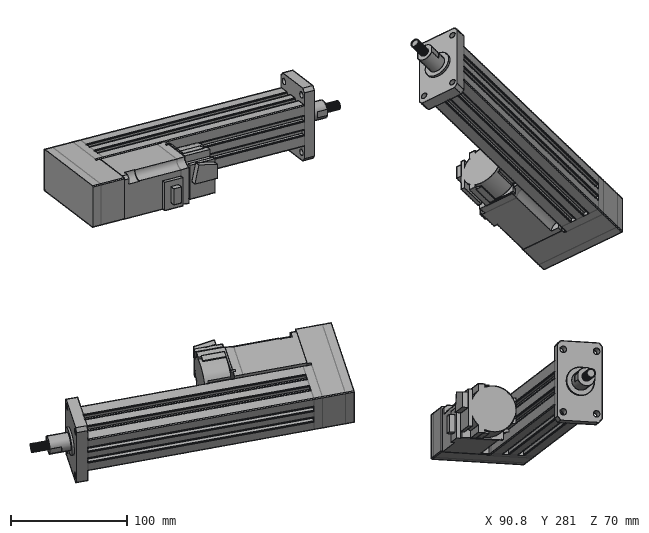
import cadquery as cq

OVERALL_LENGTH = 281.0
SIDE = 40.0
EDGE_CHAMFER = 0.8

COVER_FRONT_Y = 8.0
GEARBOX_FRONT_Y = 28.0
MOTOR_SEAT_Y = 31.5
TUBE_REAR_Y = 35.7
FLANGE_REAR_Y = 235.8
FLANGE_FRONT_Y = 246.0
COLLAR_FRONT_Y = 247.8
ROD_FRONT_Y = 266.0

GEARBOX_WIDTH = 83.5
SEAT_LEFT_X = 21.4

GROOVE_SPACING = 13.5
GROOVE_MOUTH = 6.0
GROOVE_WIDTH = 4.2
MOUTH_DEPTH = 0.8
GROOVE_DEPTH = 4.0

FLANGE_HEIGHT = 70.0
FLANGE_CHAMFER_X = 2.8
FLANGE_CHAMFER_Z = 3.5
HOLE_SPACING_X = 29.8
HOLE_SPACING_Z = 55.0
HOLE_DIAMETER = 5.5

COLLAR_DIAMETER = 24.7
ROD_DIAMETER = 16.0
ROD_FLATS = 15.0
ROD_FLAT_LENGTH = 10.0
THREAD_DIAMETER = 8.0
THREAD_DEPTH = 0.5
THREAD_TURNS = 12

MOTOR_AXIS_X = 42.2
MOTOR_SIDE = 40.5
FOOT_CHAMFER = 2.8
CHANNEL_RADIUS = 7.3
FLARE_REAR_Y = 88.2
CAP_REAR_Y = 95.8
CAP_FRONT_Y = 121.0
FLARED_SIDE = 42.0

SCOOP_RADIUS = 8.0
SCOOP_REAR_Y = 36.5
SCOOP_FRONT_Y = 46.6

CAP_RADIUS = 20.2
CAP_HEIGHT = 43.0
RIDGE_LEFT_X = 28.5
RIDGE_RIGHT_X = 55.5
RIDGE_FRONT_Y = 97.5
PAD_FRONT_Y = 118.0
PAD_LEFT_X = 45.0
PAD_STEP_X = 51.0
PAD_STEP = 0.3
LUG_REAR_Y = 93.5
REAR_LUG_LEFT_X = 26.5
REAR_LUG_RIGHT_X = 28.7
FRONT_LUG_LEFT_X = 49.7
LEDGE_LEFT_X = 21.0
LEDGE_RIGHT_X = 27.5
LEDGE_HEIGHT = 22.5

PLATE_LEFT_X = 61.0
PLATE_RIGHT_X = 64.3
PLATE_HEIGHT = 32.5
CONNECTOR_RIGHT_X = 69.7
CONNECTOR_TOP_Z = 17.5
CONNECTOR_FRONT_Z = 13.5
CONNECTOR_FRONT_Y = 120.3
CONNECTOR_REAR_Y = 97.8
CONNECTOR_RIDGE_Y = 101.7

TERMINAL_RIGHT_X = 65.8
TERMINAL_REAR_Y = 70.0
TERMINAL_FRONT_Y = 88.2
TERMINAL_TOP_Z = 7.0
PLUG_RIGHT_X = 70.8
PLUG_REAR_Y = 76.2
PLUG_FRONT_Y = 83.7
PLUG_BOTTOM_Z = -14.0
PLUG_TOP_Z = 1.5

HALF_SIDE = SIDE / 2
MOTOR_HALF = MOTOR_SIDE / 2
MOTOR_OUTER_X = MOTOR_AXIS_X + MOTOR_HALF


def block(x_range, y_range, z_range):
    """Box between two limits on each axis."""
    (x0, x1), (y0, y1), (z0, z1) = x_range, y_range, z_range
    return cq.Workplane("XY").box(x1 - x0, y1 - y0, z1 - z0, centered=False).translate((x0, y0, z0))


def about_middle(height):
    """Z limits of a feature that is centred on Z = 0."""
    return (-height / 2, height / 2)


def section_at(y):
    """XZ sketch plane at the given Y; negative extrusion lengths run toward +Y."""
    return cq.Workplane(cq.Plane(origin=(0, y, 0), xDir=(1, 0, 0), normal=(0, -1, 0)))


def rod_cylinder(diameter, rear_y, front_y):
    return section_at(rear_y).circle(diameter / 2).extrude(rear_y - front_y)


def make_tube():
    length = FLANGE_REAR_Y - TUBE_REAR_Y
    tube = section_at(TUBE_REAR_Y).rect(SIDE, SIDE).extrude(-length).edges("|Y").chamfer(EDGE_CHAMFER)
    y_range = (TUBE_REAR_Y, FLANGE_REAR_Y)
    for offset in (-GROOVE_SPACING / 2, GROOVE_SPACING / 2):
        for width, depth in ((GROOVE_MOUTH, MOUTH_DEPTH), (GROOVE_WIDTH, GROOVE_DEPTH)):
            x_range = (offset - width / 2, offset + width / 2)
            groove = block(x_range, y_range, (HALF_SIDE - depth, HALF_SIDE))
            for quarter_turn in range(4):
                tube = tube.cut(groove.rotate((0, 0, 0), (0, 1, 0), 90 * quarter_turn))
    return tube


def make_gearbox():
    """Rear gearbox, its cover and the adapter behind the tube, with visible joint lines."""
    gearbox_x = (-HALF_SIDE, GEARBOX_WIDTH - HALF_SIDE)
    z_range = about_middle(SIDE)
    cover = block(gearbox_x, (0, COVER_FRONT_Y), z_range)
    case = block(gearbox_x, (COVER_FRONT_Y, GEARBOX_FRONT_Y), z_range)
    adapter = block((-HALF_SIDE, HALF_SIDE), (GEARBOX_FRONT_Y, TUBE_REAR_Y), z_range)
    seat = block((SEAT_LEFT_X, gearbox_x[1]), (GEARBOX_FRONT_Y, MOTOR_SEAT_Y), z_range)
    case = case.union(seat)
    outer_edges = "(|Y and <X) or (|Y and >X)"
    cover = cover.edges(outer_edges).chamfer(EDGE_CHAMFER)
    case = case.edges(outer_edges).chamfer(EDGE_CHAMFER)
    adapter = adapter.edges("|Y").chamfer(EDGE_CHAMFER)
    return cover.union(case, clean=False).union(adapter, clean=False)


def make_flange():
    x, z = HALF_SIDE, FLANGE_HEIGHT / 2
    inner_x, inner_z = x - FLANGE_CHAMFER_X, z - FLANGE_CHAMFER_Z
    thickness = FLANGE_FRONT_Y - FLANGE_REAR_Y
    outline = [
        (-inner_x, -z), (inner_x, -z), (x, -inner_z), (x, inner_z),
        (inner_x, z), (-inner_x, z), (-x, inner_z), (-x, -inner_z),
    ]
    plate = section_at(FLANGE_REAR_Y).polyline(outline).close().extrude(-thickness)
    holes = (
        section_at(FLANGE_REAR_Y)
        .rarray(HOLE_SPACING_X, HOLE_SPACING_Z, 2, 2)
        .circle(HOLE_DIAMETER / 2)
        .extrude(-thickness)
    )
    return plate.cut(holes)


def make_rod():
    """Piston rod with two wrench flats and a threaded tip."""
    rod = rod_cylinder(ROD_DIAMETER, COLLAR_FRONT_Y, ROD_FRONT_Y)
    flat_y = (ROD_FRONT_Y - ROD_FLAT_LENGTH, ROD_FRONT_Y)
    flats = block(about_middle(ROD_FLATS), flat_y, about_middle(ROD_DIAMETER))
    rod = rod.cut(block(about_middle(ROD_DIAMETER), flat_y, about_middle(ROD_DIAMETER)).cut(flats))

    crest = THREAD_DIAMETER / 2
    root = crest - THREAD_DEPTH
    pitch = (OVERALL_LENGTH - ROD_FRONT_Y) / THREAD_TURNS
    profile = [(0, ROD_FRONT_Y), (crest, ROD_FRONT_Y)]
    for turn in range(THREAD_TURNS):
        start_y = ROD_FRONT_Y + turn * pitch
        profile += [(root, start_y + pitch / 2), (crest, start_y + pitch)]
    profile.append((0, OVERALL_LENGTH))
    tip = cq.Workplane("XY").polyline(profile).close().revolve(360, (0, 0, 0), (0, 1, 0))
    return rod.union(tip)


def make_actuator():
    collar = rod_cylinder(COLLAR_DIAMETER, FLANGE_FRONT_Y, COLLAR_FRONT_Y)
    actuator = make_gearbox().union(make_tube(), clean=False)
    for piece in (make_flange(), collar, make_rod()):
        actuator = actuator.union(piece, clean=False)
    return actuator


def motor_section(y, side):
    """Square motor outline with concave quarter rounds in two opposite corners."""
    half, radius = side / 2, CHANNEL_RADIUS
    return (
        section_at(y)
        .center(MOTOR_AXIS_X, 0)
        .moveTo(-half, half)
        .lineTo(half - radius, half)
        .radiusArc((half, half - radius), -radius)
        .lineTo(half, -half)
        .lineTo(radius - half, -half)
        .radiusArc((-half, radius - half), -radius)
        .close()
    )


def make_motor_body():
    foot = block(
        (MOTOR_AXIS_X - MOTOR_HALF, MOTOR_OUTER_X),
        (MOTOR_SEAT_Y, SCOOP_REAR_Y),
        about_middle(MOTOR_SIDE),
    )
    foot = foot.edges("(|Y and >X) and >Z").chamfer(FOOT_CHAMFER)
    body = motor_section(SCOOP_REAR_Y, MOTOR_SIDE).extrude(SCOOP_REAR_Y - FLARE_REAR_Y)
    flare_end = motor_section(CAP_REAR_Y, FLARED_SIDE).wires().val()
    flare_start = motor_section(FLARE_REAR_Y, MOTOR_SIDE).wires().val()
    flare = cq.Workplane(cq.Solid.makeLoft([flare_start, flare_end], True))
    scoop = (
        section_at(SCOOP_REAR_Y)
        .center(MOTOR_OUTER_X, MOTOR_HALF)
        .circle(SCOOP_RADIUS)
        .extrude(SCOOP_REAR_Y - SCOOP_FRONT_Y)
    )
    return foot.union(body).cut(scoop).union(flare)


def make_encoder_cap():
    cap = (
        section_at(CAP_REAR_Y)
        .center(MOTOR_AXIS_X, 0)
        .circle(CAP_RADIUS)
        .extrude(CAP_REAR_Y - CAP_FRONT_Y)
    )
    z_range = about_middle(CAP_HEIGHT)
    pad_y = (CAP_REAR_Y, PAD_FRONT_Y)
    low_pad = block((PAD_LEFT_X, PAD_STEP_X), pad_y, about_middle(CAP_HEIGHT - 2 * PAD_STEP))
    pad = block((PAD_STEP_X, RIDGE_RIGHT_X), pad_y, z_range)
    ridge = block((RIDGE_LEFT_X, RIDGE_RIGHT_X), (CAP_REAR_Y, RIDGE_FRONT_Y), z_range)
    rear_lug_x = (REAR_LUG_LEFT_X, REAR_LUG_RIGHT_X)
    rear_lug = block(rear_lug_x, (LUG_REAR_Y, RIDGE_FRONT_Y), about_middle(FLARED_SIDE))
    front_lug = block((FRONT_LUG_LEFT_X, RIDGE_RIGHT_X), (PAD_FRONT_Y, CAP_FRONT_Y), z_range)
    ledge_x = (LEDGE_LEFT_X, LEDGE_RIGHT_X)
    ledge = block(ledge_x, (LUG_REAR_Y, PAD_FRONT_Y), about_middle(LEDGE_HEIGHT))
    cap = cap.cut(block(ledge_x, pad_y, z_range))
    for piece in (low_pad, pad, ridge, rear_lug, front_lug, ledge):
        cap = cap.union(piece)
    return cap


def make_encoder_connector():
    plate = block((PLATE_LEFT_X, PLATE_RIGHT_X), (CAP_REAR_Y, CAP_FRONT_Y), about_middle(PLATE_HEIGHT))
    side_outline = [
        (CONNECTOR_REAR_Y, 0),
        (CONNECTOR_FRONT_Y, 0),
        (CONNECTOR_FRONT_Y, CONNECTOR_FRONT_Z),
        (CONNECTOR_RIDGE_Y, CONNECTOR_TOP_Z),
    ]
    connector = (
        cq.Workplane("YZ", origin=(PLATE_RIGHT_X, 0, 0))
        .polyline(side_outline)
        .close()
        .extrude(CONNECTOR_RIGHT_X - PLATE_RIGHT_X)
    )
    return plate.union(connector)


def make_terminal():
    """Power terminal box on the outer side of the motor and its plug."""
    box = block(
        (MOTOR_OUTER_X, TERMINAL_RIGHT_X),
        (TERMINAL_REAR_Y, TERMINAL_FRONT_Y),
        (-MOTOR_HALF, TERMINAL_TOP_Z),
    )
    plug = block(
        (TERMINAL_RIGHT_X, PLUG_RIGHT_X), (PLUG_REAR_Y, PLUG_FRONT_Y), (PLUG_BOTTOM_Z, PLUG_TOP_Z)
    )
    return box.union(plug)


def make_motor():
    motor = make_motor_body().union(make_encoder_cap())
    return motor.union(make_encoder_connector()).union(make_terminal())


actuator = make_actuator()
motor = make_motor()
result = cq.Compound.makeCompound([actuator.solids().val(), motor.solids().val()])